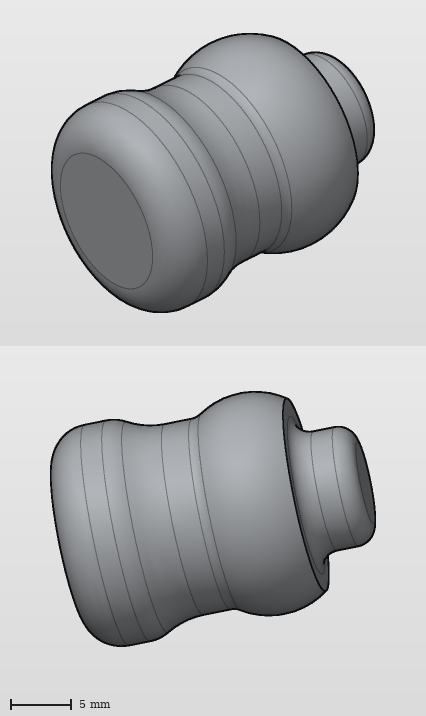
import cadquery as cq
import math

length = 25.0
body_radius = 9.25
waist_radius = 8.0
tip_radius = 5.0

rim_end = 4.98
bulge_center = 16.3
shoulder = 20.0

small_round = 1.6
rim_round = 3.2
large_round = 6.4


def arc_point(center_radius, center_y, arc_radius, angle):
    """Point on an arc, as (radius, y); the angle turns from outward toward +Y."""
    return (
        center_radius + arc_radius * math.cos(angle),
        center_y + arc_radius * math.sin(angle),
    )


def tangent_angle(radius_a, radius_b):
    """Slope where two tangent arcs, one bulging and one hollow, join between body and waist."""
    return math.acos(1 - (body_radius - waist_radius) / (radius_a + radius_b))


rim_center = body_radius - rim_round
hollow_center = waist_radius + large_round
rim_angle = tangent_angle(rim_round, large_round)
waist_start = rim_end + (rim_round + large_round) * math.sin(rim_angle)

bulge_axis = body_radius - large_round
blend_center = waist_radius + small_round
bulge_angle = tangent_angle(small_round, large_round)
waist_end = bulge_center - (small_round + large_round) * math.sin(bulge_angle)
cut_angle = math.asin((shoulder - bulge_center) / large_round)

tip_root_center = tip_radius + small_round
tip_round_start = length - small_round
tip_face_radius = tip_radius - small_round
quarter = math.pi / 2

profile = (
    cq.Workplane("XY")
    .lineTo(rim_center, 0)
    .threePointArc(arc_point(rim_center, rim_round, rim_round, -quarter / 2), (body_radius, rim_round))
    .lineTo(body_radius, rim_end)
    .threePointArc(
        arc_point(rim_center, rim_end, rim_round, rim_angle / 2),
        arc_point(rim_center, rim_end, rim_round, rim_angle),
    )
    .threePointArc(
        arc_point(hollow_center, waist_start, -large_round, rim_angle / 2),
        (waist_radius, waist_start),
    )
    .lineTo(waist_radius, waist_end)
    .threePointArc(
        arc_point(blend_center, waist_end, -small_round, -bulge_angle / 2),
        arc_point(blend_center, waist_end, -small_round, -bulge_angle),
    )
    .threePointArc(
        (body_radius, bulge_center),
        arc_point(bulge_axis, bulge_center, large_round, cut_angle),
    )
    .lineTo(tip_root_center, shoulder)
    .threePointArc(
        arc_point(tip_root_center, shoulder + small_round, -small_round, quarter / 2),
        (tip_radius, shoulder + small_round),
    )
    .lineTo(tip_radius, tip_round_start)
    .threePointArc(
        arc_point(tip_face_radius, tip_round_start, small_round, quarter / 2),
        (tip_face_radius, length),
    )
    .lineTo(0, length)
    .close()
)

result = profile.revolve(360, (0, 0, 0), (0, 1, 0))